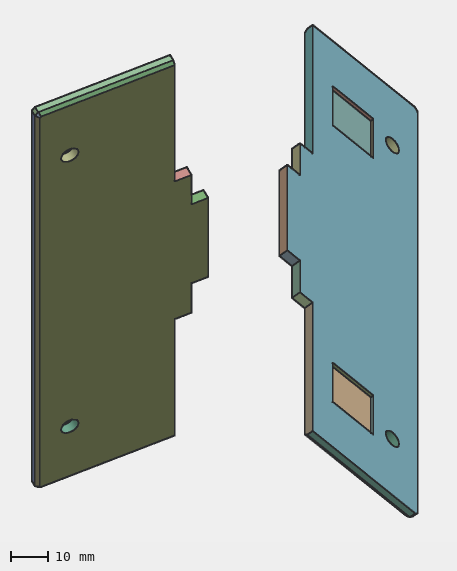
import cadquery as cq

thickness = 3.0
body_width = 41.5
height = 166.0
mid_height = height / 2
edge_chamfer = 1.0

tab_step = 5.0
tab_base_height = 61.0
tab_tip_height = 35.0

hole_diameter = 5.2
hole_spacing = 120.0
hole_y = 10.0

pocket_size = 16.0
pocket_spacing = 113.0
pocket_y = 25.5
pocket_depth = 1.0


def block(depth, width, tall, y_start, z_center):
    """Box that starts on the -X face and is centred in height on z_center."""
    solid = cq.Workplane("XY").box(depth, width, tall, centered=(False, False, True))
    return solid.translate((0, y_start, z_center))


def make_body():
    """Plate with its two -Y corners cut off and a chamfered rim on its +X face."""
    body = block(thickness, body_width, height, 0, mid_height)
    body = body.faces("<Y").edges("|X").chamfer(edge_chamfer)
    rim = body.faces(">X").edges("not >Y")
    return rim.chamfer(edge_chamfer)


def make_tab():
    """Two-step tab; each step reaches one tab_step farther in +Y."""
    base = block(thickness, tab_step, tab_base_height, body_width, mid_height)
    tip = block(thickness, tab_step, tab_tip_height, body_width + tab_step, mid_height)
    return base.union(tip)


def make_hole(z_center):
    """Cutter for a round hole through the full thickness."""
    return (
        cq.Workplane("YZ")
        .center(hole_y, z_center)
        .circle(hole_diameter / 2)
        .extrude(thickness)
    )


def make_pocket(z_center):
    """Cutter for a shallow square pocket in the -X face."""
    return block(pocket_depth, pocket_size, pocket_size, pocket_y - pocket_size / 2, z_center)


result = make_body().union(make_tab())
for side in (-1, 1):
    result = result.cut(make_hole(mid_height + side * hole_spacing / 2))
    result = result.cut(make_pocket(mid_height + side * pocket_spacing / 2))